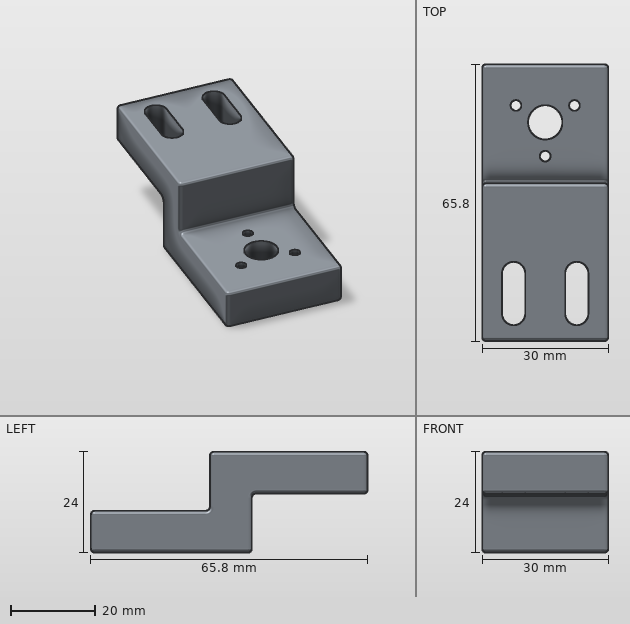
import cadquery as cq
import math

width = 30.0
length = 65.75
height = 24.0
thickness = 10.0
low_ledge = 28.3
edge_radius = 1.0

bore_diameter = 8.1
bore_from_end = 13.8
screw_diameter = 2.5
screw_circle_radius = 8.0
screw_angles = (30, 150, 270)

slot_length = 15.0
slot_width = 5.45
slot_spacing = 15.0
slot_from_end = 11.3

front_y = -length / 2
back_y = length / 2
web_back_y = back_y - low_ledge
web_front_y = web_back_y - thickness
bore_y = back_y - bore_from_end
slot_y = front_y + slot_from_end


def bracket_body():
    """Stepped profile in the YZ plane, extruded across the width, with every edge rounded."""
    profile = [
        (front_y, height),
        (front_y, height - thickness),
        (web_front_y, height - thickness),
        (web_front_y, 0),
        (back_y, 0),
        (back_y, thickness),
        (web_back_y, thickness),
        (web_back_y, height),
    ]
    body = cq.Workplane("YZ").polyline(profile).close().extrude(width / 2, both=True)
    return body.edges().fillet(edge_radius)


def bore_and_screw_holes():
    """Cutters for the central bore and the screw holes around it, through the low plate."""
    screw_points = [
        (
            screw_circle_radius * math.cos(math.radians(angle)),
            bore_y + screw_circle_radius * math.sin(math.radians(angle)),
        )
        for angle in screw_angles
    ]
    bore = cq.Workplane("XY").center(0, bore_y).circle(bore_diameter / 2).extrude(height)
    screws = cq.Workplane("XY").pushPoints(screw_points).circle(screw_diameter / 2).extrude(height)
    return bore.union(screws)


def mounting_slots():
    """Cutters for the two slots running along Y, through the high plate."""
    centres = [(-slot_spacing / 2, slot_y), (slot_spacing / 2, slot_y)]
    return cq.Workplane("XY").pushPoints(centres).slot2D(slot_length, slot_width, 90).extrude(height)


result = bracket_body().cut(bore_and_screw_holes()).cut(mounting_slots())